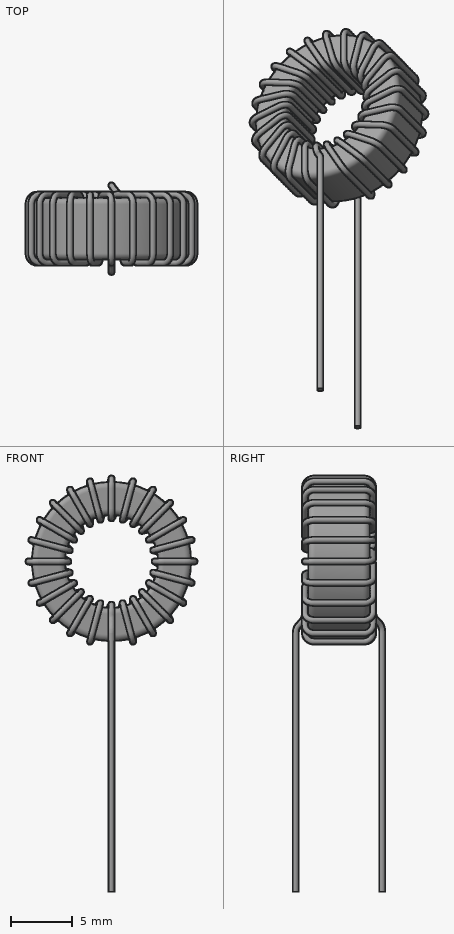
import cadquery as cq
import math

core_outer_radius = 12.9 / 2
core_inner_radius = 7.5 / 2
core_width = 5.0
core_round = 0.5

wire_radius = 0.5 / 2
wire_clearance = 0.01
path_offset = wire_radius + wire_clearance
bend_radius = core_round + path_offset
bore_passes = 24
pitch_angle = 360 / bore_passes
bore_path_radius = core_inner_radius - path_offset
rim_path_radius = core_outer_radius + path_offset
back_y = core_width / 2 + path_offset
front_y = -back_y

lead_y = 3.5
lead_length = 20.95
overall_height = 33.69
lead_end_z = rim_path_radius + wire_radius - overall_height
lead_start_z = lead_end_z + lead_length


def ring_point(radius, angle, y):
    """Point at a radius and angle around the Y axis; angle 0 points to -Z and grows towards -X."""
    turn = math.radians(angle)
    return cq.Vector(-radius * math.sin(turn), y, -radius * math.cos(turn))


def make_core():
    ring = cq.Workplane("XZ", origin=(0, core_width / 2, 0))
    ring = ring.circle(core_outer_radius).circle(core_inner_radius).extrude(core_width)
    return ring.edges("%CIRCLE").fillet(core_round)


def winding_corners():
    """Sharp corners of the winding, from below its front face to below its back face."""
    corners = [ring_point(rim_path_radius, 0, front_y)]
    for index in range(bore_passes):
        angle = index * pitch_angle
        next_angle = angle + pitch_angle
        corners.append(ring_point(bore_path_radius, angle, front_y))
        corners.append(ring_point(bore_path_radius, angle, back_y))
        corners.append(ring_point(rim_path_radius, next_angle, back_y))
        corners.append(ring_point(rim_path_radius, next_angle, front_y))
    return corners[:-1]


def corner_bend(before, corner, after):
    """Arc of the bend radius, tangent to both straight runs that meet in the corner."""
    to_before = (before - corner).normalized()
    to_after = (after - corner).normalized()
    half_angle = to_before.getAngle(to_after) / 2
    tangent_length = bend_radius / math.tan(half_angle)
    depth = bend_radius / math.sin(half_angle) - bend_radius
    middle = corner + (to_before + to_after).normalized() * depth
    return cq.Edge.makeThreePointArc(
        corner + to_before * tangent_length,
        middle,
        corner + to_after * tangent_length,
    )


def wire_path():
    """Centre line of the wire: front lead, all the turns, back lead."""
    corners = winding_corners()
    down = cq.Vector(0, 0, -1)
    front_lead_start = cq.Vector(0, -lead_y, lead_start_z)
    front_lead_end = cq.Vector(0, -lead_y, lead_end_z)
    back_lead_start = cq.Vector(0, lead_y, lead_start_z)
    back_lead_end = cq.Vector(0, lead_y, lead_end_z)

    bends = [corner_bend(*triple) for triple in zip(corners, corners[1:], corners[2:])]
    first_bend = bends[0]
    last_bend = bends[-1]

    edges = [cq.Edge.makeLine(front_lead_end, front_lead_start)]
    edges.append(
        cq.Edge.makeSpline(
            [front_lead_start, first_bend.startPoint()],
            tangents=[-down, first_bend.tangentAt(0)],
        )
    )
    for bend, next_bend in zip(bends, bends[1:]):
        edges.append(bend)
        edges.append(cq.Edge.makeLine(bend.endPoint(), next_bend.startPoint()))
    edges.append(last_bend)
    edges.append(
        cq.Edge.makeSpline(
            [last_bend.endPoint(), back_lead_start],
            tangents=[last_bend.tangentAt(1), down],
        )
    )
    edges.append(cq.Edge.makeLine(back_lead_start, back_lead_end))
    return cq.Wire.assembleEdges(edges)


def make_winding():
    section = cq.Workplane("XY", origin=(0, -lead_y, lead_end_z)).circle(wire_radius)
    return section.sweep(cq.Workplane(wire_path()))


core = make_core()
winding = make_winding()

result = cq.Compound.makeCompound([core.val(), winding.val()])